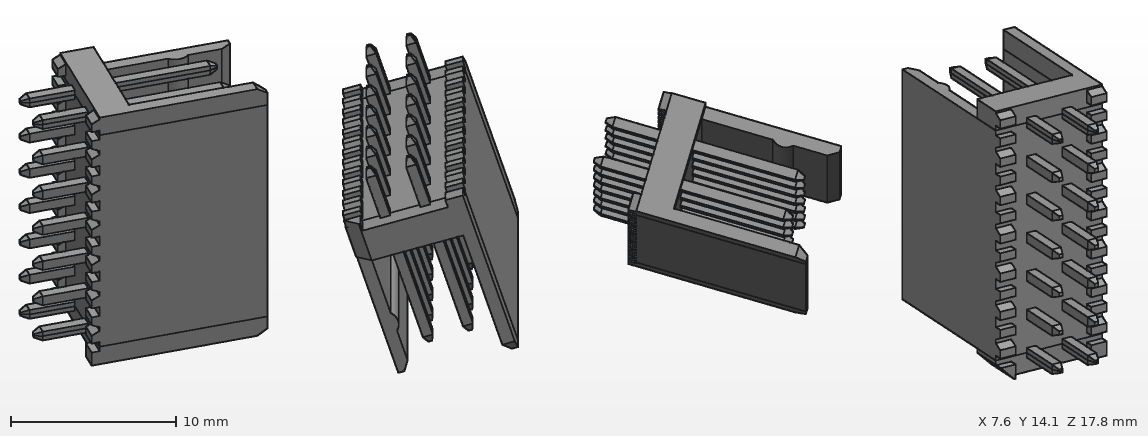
import cadquery as cq


height = 17.78
width = 7.6
row_count = 7
pitch = height / row_count
row_heights = [(row - (row_count - 1) / 2) * pitch for row in range(row_count)]
column_places = [-pitch / 2, pitch / 2]
joint_height = row_heights[-1]
floor_thickness = 2.13
length = 14.1

pin_size = 0.64
pin_tip_size = 0.25
pin_tip_length = 0.5
pin_tail = 3.4
pin_top = 9.12

wall_rim = length - pin_tail
wall_thickness = 0.8
rim_bevel_depth = 0.65
rim_bevel_width = 0.41
rib_place = 7.25
rib_length = 1.28
rib_height = 0.27

foot_width = 1.1
foot_height = 0.52
notch_floor = 0.25
notch_mouth = 0.78

corner_chamfer = 1.0


def block(x_range, y_range, z_range):
    """Axis-aligned block between the given limits."""
    corners = list(zip(x_range, y_range, z_range))
    size = [high - low for low, high in (x_range, y_range, z_range)]
    return cq.Workplane("XY").box(*size, centered=False).translate(corners[0])


def pin(x, z):
    """Square pin along Y with a tapered tip at each end."""
    shoulder_low = -pin_tail + pin_tip_length
    shoulder_high = pin_top - pin_tip_length

    def tip(shoulder, direction):
        plane = cq.Plane(origin=(x, shoulder, z), xDir=(1, 0, 0), normal=(0, direction, 0))
        return (
            cq.Workplane(plane)
            .rect(pin_size, pin_size)
            .workplane(offset=pin_tip_length)
            .rect(pin_tip_size, pin_tip_size)
            .loft(ruled=True)
        )

    half = pin_size / 2
    shank = block((x - half, x + half), (shoulder_low, shoulder_high), (z - half, z + half))
    return shank.union(tip(shoulder_low, -1)).union(tip(shoulder_high, 1))


def foot_rail(x_low):
    """Row of feet under one long edge, slotted at each pin and notched between pins."""
    x_high = x_low + foot_width
    rail = block((x_low, x_high), (-foot_height, 0), (-height / 2, height / 2))
    for z in row_heights:
        slot = (z - pin_size / 2, z + pin_size / 2)
        rail = rail.cut(block((x_low, x_high), (-foot_height, 0), slot))
        notch_centre = z + pitch / 2
        notch = (
            cq.Workplane("YZ", origin=(x_low, 0, notch_centre))
            .polyline([
                (0, -notch_floor / 2),
                (0, notch_floor / 2),
                (-foot_height, notch_mouth / 2),
                (-foot_height, -notch_mouth / 2),
            ])
            .close()
            .extrude(foot_width)
        )
        rail = rail.cut(notch)
    return rail


def wall_profile():
    """Section of the -X wall above the floor, with the inner rim edge bevelled."""
    outer = -width / 2
    inner = outer + wall_thickness
    return (
        cq.Workplane("XY", origin=(0, 0, -height / 2))
        .moveTo(outer, floor_thickness)
        .lineTo(inner, floor_thickness)
        .lineTo(inner, wall_rim - rim_bevel_depth)
        .lineTo(inner - rim_bevel_width, wall_rim)
        .lineTo(outer, wall_rim)
        .close()
    )


def full_wall():
    """+X wall over the full height, with its two rim corners bevelled."""
    wall = wall_profile().extrude(height).mirror("YZ")
    for side in (-1, 1):
        end = side * height / 2
        corner = (
            cq.Workplane("YZ")
            .moveTo(wall_rim, end)
            .lineTo(wall_rim - rim_bevel_depth, end)
            .lineTo(wall_rim, end - side * rim_bevel_width)
            .close()
            .extrude(width / 2)
        )
        wall = wall.cut(corner)
    return wall


def latch_wall():
    """-X wall between the joints, with a rounded latching rib on its inner face."""
    inner = -width / 2 + wall_thickness
    rib = (
        cq.Workplane("XY", origin=(0, 0, -height / 2))
        .moveTo(inner, rib_place - rib_length / 2)
        .threePointArc((inner + rib_height, rib_place), (inner, rib_place + rib_length / 2))
        .close()
        .extrude(height)
    )
    return wall_profile().extrude(height).union(rib)


def header_body():
    """Floor, feet, +X wall and pins over the full height, before splitting at the joints."""
    body = block((-width / 2, width / 2), (0, floor_thickness), (-height / 2, height / 2))
    body = body.union(foot_rail(-width / 2)).union(foot_rail(width / 2 - foot_width))
    body = body.union(full_wall())
    for x in column_places:
        for z in row_heights:
            body = body.union(pin(x, z))
    return body


def slice_between(shape, z_low, z_high):
    """Part of a shape between two heights."""
    return shape.intersect(block((-width, width), (-length, length), (z_low, z_high))).solids()


def make_middle_section(body):
    """Section between the joints, the only one with the latch wall."""
    return slice_between(body.union(latch_wall()), -joint_height, joint_height)


def make_upper_end(body):
    """End section above the upper joint."""
    return slice_between(body, joint_height, height / 2)


def make_lower_end(body):
    """End section below the lower joint: solid end feet and a chamfered -X corner."""
    end = slice_between(body, -height / 2, -joint_height)
    corner = (
        cq.Workplane("XZ", origin=(0, -foot_height, 0))
        .moveTo(-width / 2, -height / 2)
        .lineTo(-width / 2 + corner_chamfer, -height / 2)
        .lineTo(-width / 2, -height / 2 + corner_chamfer)
        .close()
        .extrude(-(foot_height + floor_thickness))
    )
    return end.cut(corner).solids()


header = header_body()
middle_section = make_middle_section(header)
upper_end = make_upper_end(header)
lower_end = make_lower_end(header)

result = cq.Compound.makeCompound([middle_section.val(), upper_end.val(), lower_end.val()])